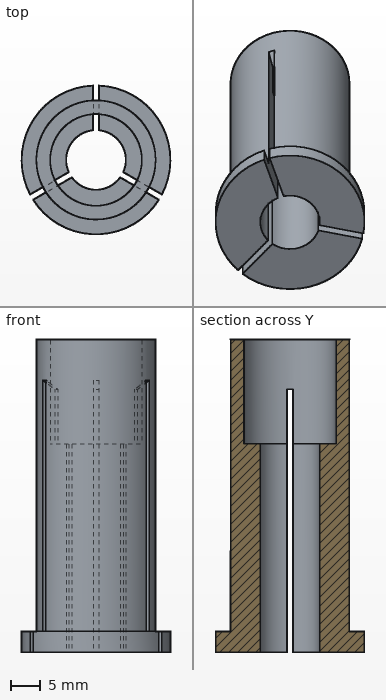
import cadquery as cq
import math

total_height = 52.5
flange_diameter = 25.0
flange_height = 3.5
tube_diameter = 20.0
upper_bore_diameter = 15.4
lower_bore_diameter = 10.0
step_height = 35.0
slot_width = 1.0
solid_collar_height = 6.8
slot_end_angle = 34
slot_angles = (90, 210, 330)

slot_height = total_height - solid_collar_height


def flanged_sleeve():
    """Tube on a flange, with a narrower bore below a step."""
    flange = cq.Workplane("XY").circle(flange_diameter / 2).extrude(flange_height)
    tube = cq.Workplane("XY").circle(tube_diameter / 2).extrude(total_height)
    upper_bore = (
        cq.Workplane("XY")
        .workplane(offset=step_height)
        .circle(upper_bore_diameter / 2)
        .extrude(total_height - step_height)
    )
    lower_bore = cq.Workplane("XY").circle(lower_bore_diameter / 2).extrude(total_height)
    return flange.union(tube).cut(upper_bore).cut(lower_bore)


def radial_slot(angle):
    """Cutter running from the axis outwards, with its top end sloping down towards the axis."""
    slot_length = flange_diameter / 2
    slope = math.tan(math.radians(slot_end_angle))
    axis_height = slot_height - slope * tube_diameter / 2
    outer_height = axis_height + slope * slot_length
    return (
        cq.Workplane("XZ")
        .polyline([(0, 0), (slot_length, 0), (slot_length, outer_height), (0, axis_height)])
        .close()
        .extrude(slot_width / 2, both=True)
        .rotate((0, 0, 0), (0, 0, 1), angle)
    )


result = flanged_sleeve()
for slot_angle in slot_angles:
    result = result.cut(radial_slot(slot_angle))